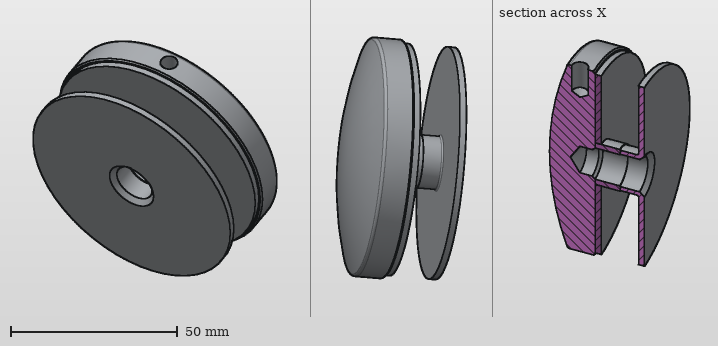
import cadquery as cq
import math

total_depth = 31.0
cap_diameter = 72.0
disc_diameter = 70.0
disc_thickness = 2.0
clamping_gap = 12.0

plate_back = disc_thickness
gasket_front = plate_back + clamping_gap
cap_front = gasket_front + disc_thickness

tube_diameter = 16.0
tube_bore = 12.45
tube_length = clamping_gap / 2
tube_root_fillet = 0.5
countersink_diameter = 15.6
countersink_depth = (countersink_diameter - tube_bore) / 2
tube_end = plate_back + tube_length

sleeve_diameter = 16.5
sleeve_bore = 12.0

tap_bore = 10.15
tap_chamfer = (sleeve_bore - tap_bore) / 2
dome_rise = 6.0
dome_edge_fillet = 1.0
cap_front_chamfer = 0.5
bore_depth_in_cap = 5.0
drill_point_angle = 118.0

spanner_hole_diameter = 5.2
spanner_hole_inset = 5.0
spanner_hole_depth = 10.0


def revolve_about_y(profile):
    """Turn a closed radius-against-Y profile a full circle about the Y axis."""
    return profile.close().revolve(360, (0, 0, 0), (0, 1, 0))


def drill_point_length(diameter):
    """Length of the conical end left by a drill."""
    return diameter / 2 / math.tan(math.radians(drill_point_angle / 2))


def make_clamp_plate():
    """Disc with a countersunk bore and a tube on its back face."""
    return revolve_about_y(
        cq.Workplane("XY")
        .moveTo(countersink_diameter / 2, 0)
        .lineTo(disc_diameter / 2, 0)
        .lineTo(disc_diameter / 2, plate_back)
        .lineTo(tube_diameter / 2 + tube_root_fillet, plate_back)
        .radiusArc((tube_diameter / 2, plate_back + tube_root_fillet), tube_root_fillet)
        .lineTo(tube_diameter / 2, tube_end)
        .lineTo(tube_bore / 2, tube_end)
        .lineTo(tube_bore / 2, countersink_depth)
    )


def make_sleeve():
    """Plain sleeve that passes through the gasket and reaches from the cap to the tube."""
    return revolve_about_y(
        cq.Workplane("XY")
        .moveTo(sleeve_bore / 2, tube_end)
        .lineTo(sleeve_diameter / 2, tube_end)
        .lineTo(sleeve_diameter / 2, cap_front)
        .lineTo(sleeve_bore / 2, cap_front)
    )


def make_gasket():
    """Flat ring between the cap and the clamped panel, around the sleeve."""
    return revolve_about_y(
        cq.Workplane("XY")
        .moveTo(sleeve_diameter / 2, gasket_front)
        .lineTo(disc_diameter / 2, gasket_front)
        .lineTo(disc_diameter / 2, cap_front)
        .lineTo(sleeve_diameter / 2, cap_front)
    )


def make_spanner_hole():
    """Cutter for the blind radial hole, entering the rim from +Z."""
    radius = spanner_hole_diameter / 2
    floor = cap_diameter / 2 - spanner_hole_depth
    tip = floor - drill_point_length(spanner_hole_diameter)
    return (
        cq.Workplane("XZ")
        .moveTo(0, tip)
        .lineTo(radius, floor)
        .lineTo(radius, cap_diameter)
        .lineTo(0, cap_diameter)
        .close()
        .revolve(360, (0, 0, 0), (0, 1, 0))
        .translate((0, cap_front + spanner_hole_inset, 0))
    )


def make_cap():
    """Domed disc with a blind bore on its axis and a radial hole in its rim."""
    cap_radius = cap_diameter / 2
    rim_back = total_depth - dome_rise
    dome_radius = (cap_radius**2 + dome_rise**2) / (2 * dome_rise)
    bore_floor = cap_front + bore_depth_in_cap
    bore_tip = bore_floor + drill_point_length(tap_bore)
    cap = revolve_about_y(
        cq.Workplane("XY")
        .moveTo(sleeve_bore / 2, cap_front)
        .lineTo(cap_radius - cap_front_chamfer, cap_front)
        .lineTo(cap_radius, cap_front + cap_front_chamfer)
        .lineTo(cap_radius, rim_back)
        .radiusArc((0, total_depth), -dome_radius)
        .lineTo(0, bore_tip)
        .lineTo(tap_bore / 2, bore_floor)
        .lineTo(tap_bore / 2, cap_front + tap_chamfer)
    )
    search_margin = 0.1
    dome_edge = cq.selectors.BoxSelector(
        (-cap_diameter, rim_back - search_margin, -cap_diameter),
        (cap_diameter, rim_back + search_margin, cap_diameter),
        boundingbox=True,
    )
    return cap.edges(dome_edge).fillet(dome_edge_fillet).cut(make_spanner_hole())


clamp_plate = make_clamp_plate()
sleeve = make_sleeve()
gasket = make_gasket()
cap = make_cap()

result = cq.Compound.makeCompound([clamp_plate.val(), sleeve.val(), gasket.val(), cap.val()])